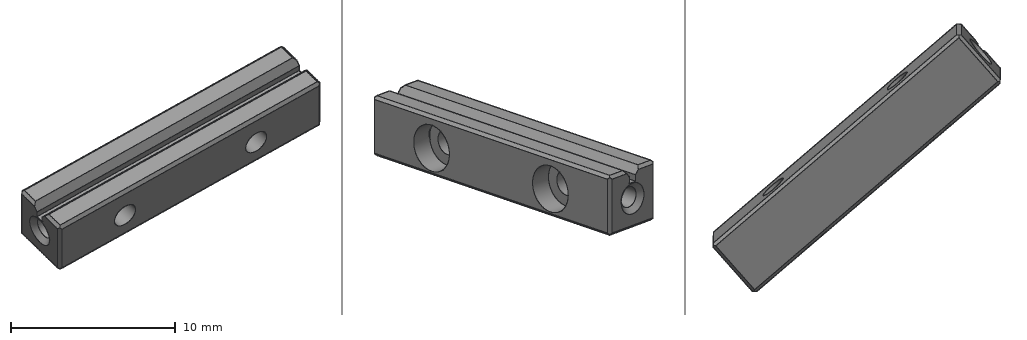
import cadquery as cq
import math

width = 4.0
length = 20.0
height = 3.9
edge_chamfer = 0.2

slot_width = 0.52
slot_depth = 0.9
flare_width = 1.35
flare_depth = 0.48

cross_spacing = length / 2
cross_z = 1.8
cross_diameter = 1.6
counterbore_diameter = 3.0
counterbore_depth = 1.4

end_z = height / 2
end_diameter = 1.32
end_depth = 3.5
countersink_diameter = 2.0
countersink_depth = (countersink_diameter - end_diameter) / 2
drill_point_angle = 118.0
drill_point_depth = end_diameter / 2 / math.tan(math.radians(drill_point_angle / 2))


def make_block():
    return cq.Workplane("XY").box(width, length, height, centered=(True, True, False))


def make_bar():
    """Chamfer every edge, with the three chamfers at each corner meeting in a point."""
    bar = make_block()
    for direction in ("|X", "|Y", "|Z"):
        bar = bar.intersect(make_block().edges(direction).chamfer(edge_chamfer))
    return bar


def make_groove():
    """Full-length groove, open at the top and at both ends."""
    outline = [
        (-flare_width / 2, height),
        (-slot_width / 2, height - flare_depth),
        (-slot_width / 2, height - slot_depth),
        (slot_width / 2, height - slot_depth),
        (slot_width / 2, height - flare_depth),
        (flare_width / 2, height),
    ]
    return cq.Workplane("XZ").polyline(outline).close().extrude(length / 2, both=True)


def make_cross_hole(y):
    """Through hole along X, counterbored from the -X side."""
    left_face = cq.Workplane("YZ", origin=(-width / 2, y, cross_z))
    through = left_face.circle(cross_diameter / 2).extrude(width)
    counterbore = left_face.circle(counterbore_diameter / 2).extrude(counterbore_depth)
    return through.union(counterbore)


def make_end_hole():
    """Hole entering the -Y end, revolved about its own axis."""
    profile = [
        (0, 0),
        (countersink_diameter / 2, 0),
        (end_diameter / 2, countersink_depth),
        (end_diameter / 2, end_depth),
        (0, end_depth + drill_point_depth),
    ]
    front_end = cq.Workplane("XY", origin=(0, -length / 2, end_z))
    return front_end.polyline(profile).close().revolve(360, (0, 0), (0, 1))


result = make_bar().cut(make_groove())

for side in (-1, 1):
    result = result.cut(make_cross_hole(side * cross_spacing / 2))

end_hole = make_end_hole()
result = result.cut(end_hole).cut(end_hole.mirror("XZ"))